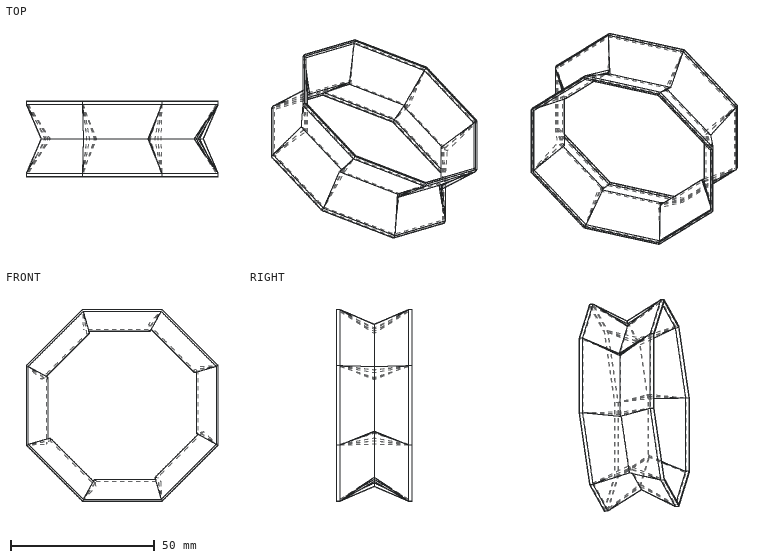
import cadquery as cq
import math

SIDES = 8
ACROSS_FLATS = 66.8
WIDTH = 26.4
RIM_WIDTH = 1.2
WALL = 0.7
FOLD_DEPTH = 6.95

LEAD_SETBACK_OUTER = 0.35
LEAD_SETBACK_INNER = 1.5
TRAIL_SETBACK_OUTER = 4.9
TRAIL_SETBACK_INNER = 4.15

apothem = ACROSS_FLATS / 2
half_angle = math.pi / SIDES
half_side = apothem * math.tan(half_angle)
half_width = WIDTH / 2
rim_inside_y = half_width - RIM_WIDTH
panel_turn = 360 / SIDES


def octagon(distance_to_side):
    """Octagon outline in the XZ plane with flats facing along X and Z."""
    circumradius = distance_to_side / math.cos(half_angle)
    points = []
    for i in range(SIDES):
        angle = (2 * i + 1) * half_angle
        points.append((circumradius * math.cos(angle), circumradius * math.sin(angle)))
    return points


def make_rim(start_y):
    """Octagonal band running from start_y towards +Y."""
    plane = cq.Workplane("XZ", origin=(0, start_y, 0))
    outside = plane.polyline(octagon(apothem)).close().extrude(-RIM_WIDTH)
    inside = plane.polyline(octagon(apothem - WALL)).close().extrude(-RIM_WIDTH)
    return outside.cut(inside)


def make_half_panel(rim_y):
    """Top sheet sloping inward from one rim to the fold at Y = 0."""
    inner_half_side = (apothem - WALL) * math.tan(half_angle)
    fold_z = apothem - FOLD_DEPTH
    rim_end = [
        cq.Vector(-half_side, rim_y, apothem),
        cq.Vector(half_side, rim_y, apothem),
        cq.Vector(inner_half_side, rim_y, apothem - WALL),
        cq.Vector(-inner_half_side, rim_y, apothem - WALL),
    ]
    fold_end = [
        cq.Vector(-half_side + LEAD_SETBACK_OUTER, 0, fold_z),
        cq.Vector(half_side - TRAIL_SETBACK_OUTER, 0, fold_z),
        cq.Vector(half_side - TRAIL_SETBACK_INNER, 0, fold_z - WALL),
        cq.Vector(-half_side + LEAD_SETBACK_INNER, 0, fold_z - WALL),
    ]
    wires = [cq.Wire.makePolygon(end, close=True) for end in (rim_end, fold_end)]
    return cq.Workplane(obj=cq.Solid.makeLoft(wires, True))


panel = make_half_panel(-rim_inside_y).union(make_half_panel(rim_inside_y))

result = make_rim(-half_width).union(make_rim(rim_inside_y))
for i in range(SIDES):
    result = result.union(panel.rotate((0, 0, 0), (0, 1, 0), i * panel_turn))